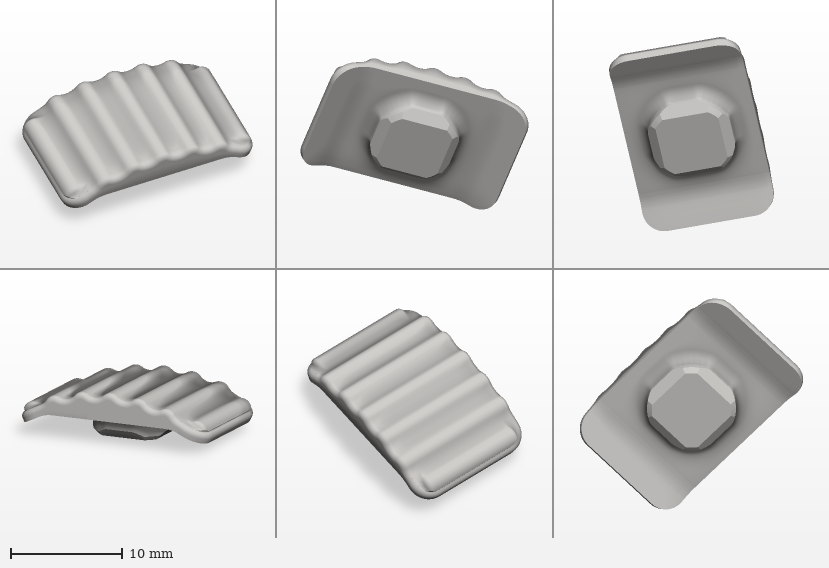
import cadquery as cq
import math

width = 12.0
length = 18.7
crest_height = 2.58
sweep_radius = 19.6
rib_pitch = 8.65
full_ribs = 2
rib_radius = 1.0
valley_radius = 1.35
wing_thickness = 0.95
bend_radius = 3.0
corner_radius = 2.0
rim_radius = 0.5

end_rib_half_length = 5.06
end_rib_rounding = 0.5
foot_inset = 0.45
foot_radius = 0.4

stem_radius = 4.0
stem_flat = 3.75
stem_edge_radius = 1.0
stem_depth = 2.18
stem_root_radius = 1.0
stem_round_chamfer = 0.43
stem_flat_chamfer = 0.86

end_rib_index = full_ribs + 1
end_angle = end_rib_index * rib_pitch
sweep_z = crest_height - sweep_radius
rib_axis_radius = sweep_radius - rib_radius
half_pitch = math.radians(rib_pitch / 2)
axis_gap = rib_radius + valley_radius
valley_axis_radius = rib_axis_radius * math.cos(half_pitch) + math.sqrt(
    axis_gap**2 - (rib_axis_radius * math.sin(half_pitch)) ** 2
)

wing_top = valley_axis_radius * math.cos(half_pitch) - valley_radius
wing_bottom = wing_top - wing_thickness
slope = math.radians(end_angle)
wing_tip = (
    length / 2 - rim_radius - (wing_top - rim_radius) * math.sin(slope)
) / math.cos(slope) + rim_radius
valley_end_along = -valley_axis_radius * math.sin(half_pitch)

tolerance = 0.01


def on_sweep(radius, angle):
    """(y, z) at a radius and an angle from vertical about the sweep centre."""
    a = math.radians(angle)
    return radius * math.sin(a), sweep_z + radius * math.cos(a)


def on_wing(along, height):
    """(y, z) on the sloping end: along the slope and above the sweep centre."""
    return (
        along * math.cos(slope) + height * math.sin(slope),
        sweep_z + height * math.cos(slope) - along * math.sin(slope),
    )


def rib_axis(index):
    return on_sweep(rib_axis_radius, index * rib_pitch)


def valley_axis(index):
    """Axis of the valley between ribs index and index + 1."""
    return on_sweep(valley_axis_radius, (index + 0.5) * rib_pitch)


def joint(rib, valley):
    """Point where a rib round runs tangent into a valley round."""
    ry, rz = rib_axis(rib)
    vy, vz = valley_axis(valley)
    share = rib_radius / axis_gap
    return ry + (vy - ry) * share, rz + (vz - rz) * share


def rib_top(index):
    return on_sweep(sweep_radius, index * rib_pitch)


def valley_bottom(index):
    return on_sweep(valley_axis_radius - valley_radius, (index + 0.5) * rib_pitch)


def below_valley_axis(valley, angle):
    """Point of a valley round whose tangent falls at the given angle."""
    vy, vz = valley_axis(valley)
    a = math.radians(angle)
    return vy - valley_radius * math.sin(a), vz - valley_radius * math.cos(a)


def mirrored(point):
    return -point[0], point[1]


def make_plate():
    """Ribbed plate with sloping ends and rounded corners, its upper edge still sharp."""
    bend_z = -bend_radius
    bend_y = (wing_bottom - bend_radius - (bend_z - sweep_z) * math.cos(slope)) / math.sin(slope)
    bend_start = (bend_y, 0)
    bend_mid = (
        bend_y + bend_radius * math.sin(slope / 2),
        bend_z + bend_radius * math.cos(slope / 2),
    )
    bend_end = (bend_y + bend_radius * math.sin(slope), bend_z + bend_radius * math.cos(slope))
    tip_low = on_wing(wing_tip, wing_bottom)
    tip_high = on_wing(wing_tip, wing_top)
    valley_end = below_valley_axis(full_ribs, end_angle)
    outer_valley_mid = below_valley_axis(full_ribs, end_angle + rib_pitch)

    outline = (
        cq.Workplane("YZ", origin=(-width / 2, 0, 0))
        .moveTo(*mirrored(bend_start))
        .lineTo(*bend_start)
        .threePointArc(bend_mid, bend_end)
        .lineTo(*tip_low)
        .lineTo(*tip_high)
        .lineTo(*valley_end)
        .threePointArc(outer_valley_mid, joint(full_ribs, full_ribs))
    )
    for rib in range(full_ribs, -full_ribs - 1, -1):
        outline = outline.threePointArc(rib_top(rib), joint(rib, rib - 1))
        if rib > -full_ribs:
            outline = outline.threePointArc(valley_bottom(rib - 1), joint(rib - 1, rib - 1))
    outline = (
        outline.threePointArc(mirrored(outer_valley_mid), mirrored(valley_end))
        .lineTo(*mirrored(tip_high))
        .lineTo(*mirrored(tip_low))
        .lineTo(*mirrored(bend_end))
        .threePointArc(mirrored(bend_mid), mirrored(bend_start))
        .close()
    )
    plate = outline.extrude(width)

    tip_y, tip_z = on_wing(wing_tip, (wing_top + wing_bottom) / 2)
    for x in (-width / 2, width / 2):
        for y in (-tip_y, tip_y):
            plate = plate.edges(cq.selectors.NearestToPointSelector((x, y, tip_z))).fillet(corner_radius)

    return plate


def round_rim(plate):
    """Round the whole tangent-continuous upper edge of the plate."""
    rim = cq.selectors.NearestToPointSelector((width / 2, *rib_top(0)))
    return plate.edges(rim).fillet(rim_radius)


def make_end_rib():
    """Rib on the +Y slope with the half valley that leads up to it."""
    foot_depth = wing_thickness / 2
    rib_half_width = math.sqrt(rib_radius**2 - (wing_top - rib_axis_radius) ** 2)
    valley_mid = below_valley_axis(full_ribs, end_angle - rib_pitch)
    rib = (
        cq.Workplane("YZ", origin=(-end_rib_half_length, 0, 0))
        .moveTo(*on_wing(valley_end_along, wing_top - foot_depth))
        .lineTo(*on_wing(valley_end_along, wing_top))
        .threePointArc(valley_mid, joint(end_rib_index, full_ribs))
        .threePointArc(rib_top(end_rib_index), on_wing(rib_half_width, wing_top))
        .lineTo(*on_wing(rib_half_width, wing_top - foot_depth))
        .close()
        .extrude(2 * end_rib_half_length)
    )
    for x in (-end_rib_half_length, end_rib_half_length):
        end_edge = cq.selectors.NearestToPointSelector((x, *rib_top(end_rib_index)))
        rib = rib.edges(end_edge).fillet(end_rib_rounding)
    return rib


def wing_coordinates(point):
    """Inverse of on_wing: along the slope and above the sweep centre."""
    y, z = point.y, point.z - sweep_z
    return y * math.cos(slope) - z * math.sin(slope), y * math.sin(slope) + z * math.cos(slope)


def is_foot_edge(edge):
    """True for edges where the end rib meets the flat top of the wing."""
    along, height = wing_coordinates(edge.Center())
    between_plate_edges = valley_end_along + tolerance < along < wing_tip - tolerance
    inside_width = abs(edge.Center().x) < end_rib_half_length + tolerance
    return abs(height - wing_top) < tolerance and between_plate_edges and inside_width


def blend_end_rib(plate, end_rib):
    """End rib with a concave round at its foot, kept inside the rim of the plate."""
    joined = plate.union(end_rib).val()
    foot_edges = [edge for edge in joined.Edges() if is_foot_edge(edge)]
    blended = cq.Workplane(joined.fillet(foot_radius, foot_edges))

    foot_length = wing_tip - foot_inset - valley_end_along
    start_y, start_z = on_wing(valley_end_along, wing_top - wing_thickness / 2)
    wing_plane = cq.Plane(
        origin=(0, start_y, start_z), xDir=(1, 0, 0), normal=(0, math.sin(slope), math.cos(slope))
    )
    inside_rim = (
        cq.Workplane(wing_plane)
        .center(0, foot_length / 2)
        .rect(width - 2 * foot_inset, foot_length)
        .extrude(2 * rib_radius)
    )
    for x in (-1, 1):
        corner = (x * (width / 2 - foot_inset), *on_wing(wing_tip - foot_inset, wing_top + rib_radius / 2))
        inside_rim = inside_rim.edges(cq.selectors.NearestToPointSelector(corner)).fillet(
            corner_radius - foot_inset
        )
    return blended.intersect(inside_rim)


def make_stem():
    """Round stem with four flats, bevelled at its free end."""
    embed = 0.5
    round_stem = (
        cq.Workplane("XY", origin=(0, 0, -stem_depth))
        .circle(stem_radius)
        .extrude(stem_depth + embed)
    )
    square = (
        cq.Workplane("XY", origin=(0, 0, -stem_depth))
        .rect(2 * stem_flat, 2 * stem_flat)
        .extrude(stem_depth + embed)
    )
    stem = round_stem.intersect(square).edges("|Z").fillet(stem_edge_radius)
    bevelled = round_stem.faces("<Z").chamfer(stem_round_chamfer)
    bevelled_square = square.faces("<Z").chamfer(stem_flat_chamfer)
    return stem.intersect(bevelled).intersect(bevelled_square)


def add_stem(plate):
    """Join the stem under the plate with a concave round at its root."""
    root_edges = cq.selectors.BoxSelector(
        (-stem_radius, -stem_radius, -tolerance), (stem_radius, stem_radius, tolerance)
    )
    return plate.union(make_stem()).edges(root_edges).fillet(stem_root_radius)


sharp_plate = make_plate()
body = add_stem(round_rim(sharp_plate))
end_rib = blend_end_rib(sharp_plate, make_end_rib())
result = body.union(end_rib).union(end_rib.mirror("XZ"))